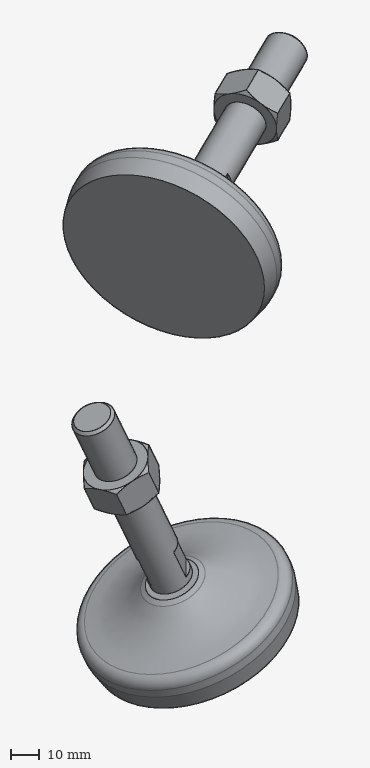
import cadquery as cq
import math

total_length = 110.0

pad_diameter = 80.0
underside_diameter = 77.0
taper_height = 7.5
rim_height = 11.0
shoulder_height = 15.0
crown_height = 24.0
crown_diameter = 24.0
crown_arc_radius = 44.0
pad_top_height = 25.0
pad_top_diameter = 19.8

neck_diameter = 10.0
stud_start = 26.0
stud_diameter = 16.0
stud_chamfer = 1.1

flats_width = 13.0
flats_start = 28.6
flats_length = 13.0

nut_start = 72.3
nut_height = 12.8
nut_width = 24.0
nut_chamfer_angle = 30.0


def axial_cylinder(diameter, start, end):
    """Cylinder on the Y axis between two heights."""
    return cq.Workplane("XZ", origin=(0, start, 0)).circle(diameter / 2).extrude(start - end)


def make_pad():
    """Revolved pad: tapered underside, rounded rim and concave crown."""
    pad_radius = pad_diameter / 2
    crown_radius = crown_diameter / 2
    rim_round = shoulder_height - rim_height
    shoulder_radius = pad_radius - rim_round

    crown_run = shoulder_radius - crown_radius
    crown_rise = crown_height - shoulder_height
    crown_chord = math.hypot(crown_run, crown_rise)
    crown_sag = crown_arc_radius - math.sqrt(crown_arc_radius**2 - (crown_chord / 2) ** 2)
    crown_middle = (
        (shoulder_radius + crown_radius) / 2 - crown_sag * crown_rise / crown_chord,
        (shoulder_height + crown_height) / 2 - crown_sag * crown_run / crown_chord,
    )
    rim_middle = (
        shoulder_radius + rim_round * math.cos(math.pi / 4),
        rim_height + rim_round * math.sin(math.pi / 4),
    )
    return (
        cq.Workplane("XY")
        .lineTo(underside_diameter / 2, 0)
        .lineTo(pad_radius, taper_height)
        .lineTo(pad_radius, rim_height)
        .threePointArc(rim_middle, (shoulder_radius, shoulder_height))
        .threePointArc(crown_middle, (crown_radius, crown_height))
        .lineTo(pad_top_diameter / 2, pad_top_height)
        .lineTo(0, pad_top_height)
        .close()
        .revolve(360, (0, 0, 0), (0, 1, 0))
    )


def make_stud():
    """Stud with a chamfered free end and two opposite wrench flats facing X."""
    stud = axial_cylinder(stud_diameter, stud_start, total_length)
    stud = stud.faces(">Y").chamfer(stud_chamfer)
    for side in (-1, 1):
        cutter = cq.Workplane("XY").box(stud_diameter, flats_length, stud_diameter)
        offset = side * (flats_width + stud_diameter) / 2
        stud = stud.cut(cutter.translate((offset, flats_start + flats_length / 2, 0)))
    return stud


def make_nut():
    """Hexagon with corners on Z, its corners bevelled by a cone at both ends."""
    corner_radius = nut_width / math.sqrt(3)
    face_radius = nut_width / 2
    bevel_height = (corner_radius - face_radius) * math.tan(math.radians(nut_chamfer_angle))
    nut_end = nut_start + nut_height
    hexagon = (
        cq.Workplane("XZ", origin=(0, nut_start, 0))
        .transformed(rotate=(0, 0, 90))
        .polygon(6, 2 * corner_radius)
        .extrude(-nut_height)
    )
    envelope = (
        cq.Workplane("XY")
        .moveTo(0, nut_start)
        .lineTo(face_radius, nut_start)
        .lineTo(corner_radius, nut_start + bevel_height)
        .lineTo(corner_radius, nut_end - bevel_height)
        .lineTo(face_radius, nut_end)
        .lineTo(0, nut_end)
        .close()
        .revolve(360, (0, 0, 0), (0, 1, 0))
    )
    return hexagon.intersect(envelope)


neck = axial_cylinder(neck_diameter, pad_top_height, stud_start)
result = make_pad().union(neck).union(make_stud()).union(make_nut())